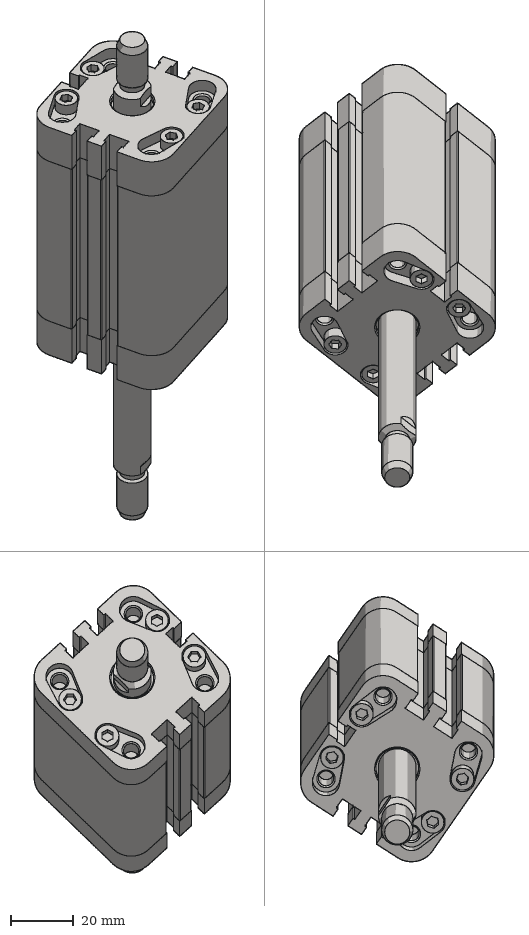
import cadquery as cq
import math


housing_width = 49.0
housing_height = 94.0
cap_height = 14.0
barrel_height = housing_height - 2 * cap_height
half_width = housing_width / 2
corner_radius = 8.0

slot_depth = 6.5
pair_slot_mouth = 5.7
pair_slot_inside = 7.0
pair_slot_lip = 3.0
pair_rib_width = 5.3
pair_slot_offset = (pair_rib_width + pair_slot_mouth) / 2
side_slot_mouth = 5.3
side_slot_inside = 6.5
side_slot_lip = 3.3
barrel_mouth_chamfer = 0.35

pocket_depth = 4.3
pocket_corner_diameter = 8.8
pocket_screw_diameter = 8.0
corner_hole_offset = 16.4
corner_hole_diameter = 4.9
corner_hole_mouth = 5.8
corner_hole_depth = 7.8
screw_x = 19.3
screw_y = 8.5
screw_head_diameter = 7.2
screw_head_height = 3.9
socket_across_flats = 3.5
socket_angle = 45
socket_depth = 2.5
seal_recess_diameter = 13.6
seal_recess_depth = 2.0
seal_recess_chamfer = 0.4

rod_diameter = 12.0
rod_top_reach = 25.5
rod_bottom_reach = 75.5
thread_diameter = 10.0
thread_length = 16.5
tip_diameter = 8.0
tip_chamfer_length = 2.5
neck_diameter = 8.0
neck_length = 2.1
collar_cone_length = 1.2
thread_cone_length = 0.5
flat_width = 10.0
flat_length = 4.5


def slot_cutter(mouth, inside, lip, height, chamfer):
    """T-slot open toward +X, its mouth in the plane X = 0."""
    outline = [
        (0, mouth / 2 + chamfer),
        (-chamfer, mouth / 2),
        (-lip, mouth / 2),
        (-lip, inside / 2),
        (-slot_depth, inside / 2),
    ]
    if chamfer == 0:
        outline = outline[1:]
    mirrored = [(x, -y) for x, y in reversed(outline)]
    return cq.Workplane("XY").polyline(outline + mirrored).close().extrude(height)


def profile_block(height, chamfer):
    """Slotted square block standing on Z = 0, pierced for the rod."""
    block = cq.Workplane("XY").rect(housing_width, housing_width).extrude(height)
    block = block.edges("|Z").fillet(corner_radius)

    side_slot = slot_cutter(side_slot_mouth, side_slot_inside, side_slot_lip, height, chamfer)
    block = block.cut(side_slot.translate((half_width, 0, 0)).rotate((0, 0, 0), (0, 0, 1), 180))

    pair_slot = slot_cutter(pair_slot_mouth, pair_slot_inside, pair_slot_lip, height, chamfer)
    for angle in (90, -90):
        for side in (-1, 1):
            placed = pair_slot.translate((half_width, side * pair_slot_offset, 0))
            block = block.cut(placed.rotate((0, 0, 0), (0, 0, 1), angle))

    rod_hole = cq.Workplane("XY").circle(rod_diameter / 2).extrude(height)
    return block.cut(rod_hole)


def tapered_pocket():
    """Pocket in the +X +Y quarter: two round ends joined by their common tangents."""
    corner_r = pocket_corner_diameter / 2
    screw_r = pocket_screw_diameter / 2
    dx = screw_x - corner_hole_offset
    dy = screw_y - corner_hole_offset
    distance = math.hypot(dx, dy)
    heading = math.atan2(dy, dx)
    tangent = math.acos((corner_r - screw_r) / distance)

    def on_circle(x, y, radius, angle):
        return (x + radius * math.cos(angle), y + radius * math.sin(angle))

    corner = (corner_hole_offset, corner_hole_offset, corner_r)
    screw = (screw_x, screw_y, screw_r)
    outline = (
        cq.Workplane("XY")
        .moveTo(*on_circle(*corner, heading + tangent))
        .threePointArc(
            on_circle(*corner, heading + math.pi),
            on_circle(*corner, heading - tangent),
        )
        .lineTo(*on_circle(*screw, heading - tangent))
        .threePointArc(
            on_circle(*screw, heading),
            on_circle(*screw, heading + tangent),
        )
        .close()
    )
    return outline.extrude(pocket_depth).translate((0, 0, cap_height - pocket_depth))


def corner_hole():
    """Blind hole with a chamfered mouth in the floor of the +X +Y pocket."""
    hole_r = corner_hole_diameter / 2
    mouth_r = corner_hole_mouth / 2
    chamfer = mouth_r - hole_r
    profile = [
        (0, 0),
        (mouth_r, 0),
        (hole_r, -chamfer),
        (hole_r, -corner_hole_depth),
        (0, -corner_hole_depth),
    ]
    hole = cq.Workplane("XZ").polyline(profile).close().revolve(360, (0, 0), (0, 1))
    return hole.translate((corner_hole_offset, corner_hole_offset, cap_height - pocket_depth))


def screw_head():
    """Socket screw head standing on the pocket floor in the +X +Y quarter."""
    socket_across_corners = socket_across_flats / math.cos(math.pi / 6)
    head = cq.Workplane("XY").circle(screw_head_diameter / 2).extrude(screw_head_height)
    socket = cq.Workplane("XY").polygon(6, socket_across_corners).extrude(socket_depth)
    socket = socket.rotate((0, 0, 0), (0, 0, 1), socket_angle)
    head = head.cut(socket.translate((0, 0, screw_head_height - socket_depth)))
    return head.translate((screw_x, screw_y, cap_height - pocket_depth))


def in_four_quarters(feature):
    """The +X +Y feature and its mirror images in the other three quarters."""
    pair = [feature, feature.mirror("YZ")]
    return pair + [copy.mirror("XZ") for copy in pair]


def seal_recess():
    """Annular recess with a chamfered mouth around the rod, in the outer face."""
    recess_r = seal_recess_diameter / 2
    recess = cq.Workplane("XY").circle(recess_r).extrude(seal_recess_depth)
    mouth = cq.Workplane("XY").circle(recess_r + seal_recess_chamfer).extrude(seal_recess_depth)
    mouth = mouth.faces("<Z").chamfer(seal_recess_chamfer)
    mouth = mouth.translate((0, 0, seal_recess_depth - seal_recess_chamfer))
    return recess.union(mouth).translate((0, 0, cap_height - seal_recess_depth))


def make_cap():
    """End cap with its outer face up at Z = cap_height."""
    cap = profile_block(cap_height, 0)
    for feature in (tapered_pocket(), corner_hole()):
        for cutter in in_four_quarters(feature):
            cap = cap.cut(cutter)
    for head in in_four_quarters(screw_head()):
        cap = cap.union(head)
    return cap.cut(seal_recess())


def rod_half(reach):
    """Half of the rod, from mid-housing up to the threaded tip at Z = reach."""
    rod_r = rod_diameter / 2
    thread_start = reach - thread_length
    collar_end = thread_start - neck_length
    profile = [
        (0, 0),
        (rod_r, 0),
        (rod_r, collar_end - collar_cone_length),
        (neck_diameter / 2, collar_end),
        (neck_diameter / 2, thread_start),
        (thread_diameter / 2, thread_start + thread_cone_length),
        (thread_diameter / 2, reach - tip_chamfer_length),
        (tip_diameter / 2, reach),
        (0, reach),
    ]
    rod = cq.Workplane("XZ").polyline(profile).close().revolve(360, (0, 0), (0, 1))

    half_flat = flat_width / 2
    flat_bottom = collar_end - flat_length
    flat_profile = [
        (half_flat, collar_end),
        (half_flat, flat_bottom),
        (half_flat + rod_r, flat_bottom - rod_r),
        (half_flat + rod_r, collar_end),
    ]
    flat = cq.Workplane("XZ").polyline(flat_profile).close().extrude(rod_r, both=True)
    return rod.cut(flat).cut(flat.mirror("YZ"))


def make_rod():
    """One rod through the whole housing, with matching ends above and below."""
    middle = housing_height / 2
    top = rod_half(middle + rod_top_reach)
    bottom = rod_half(middle + rod_bottom_reach).mirror("XY")
    return top.union(bottom).clean().translate((0, 0, middle))


top_cap = make_cap().translate((0, 0, housing_height - cap_height))
barrel = profile_block(barrel_height, barrel_mouth_chamfer).translate((0, 0, cap_height))
bottom_cap = make_cap().mirror("XY").translate((0, 0, cap_height))
piston_rod = make_rod()

result = cq.Compound.makeCompound([top_cap.val(), barrel.val(), bottom_cap.val(), piston_rod.val()])